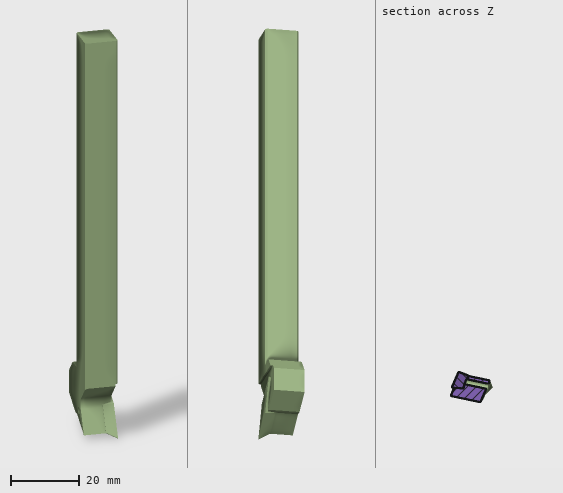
import cadquery as cq
import math

tool_length = 125
shank_size = 10
shank_chamfer = 0.5
overall_width = 18.0
shank_left = overall_width - shank_size

shoulder_height = 20.1
head_chamfer = 4.0
head_left_bottom = 9.2
relief_flat_height = 5.5
throat_start_height = 16.6
throat_angle = 45
throat_radius = 3.0
seat_clearance = 0.1

lower_edge_angle = 28
nose_angle = 35
upper_edge_angle = lower_edge_angle + nose_angle
edge_length = 11.0
nose_radius = 0.2
insert_thickness = 3.2
flank_relief_angle = 11
seat_y = shank_size - insert_thickness

step_depth = 0.8
step_top = 17.2

screw_hole_diameter = 2.0


def direction(angle):
    """Unit vector that points up and to the left, at this angle above the horizontal."""
    return cq.Vector(-math.cos(math.radians(angle)), math.sin(math.radians(angle)))


def height_on_line(point, angle, x):
    """Height at x of the line through the point that rises to the left at this angle."""
    return point.y + (point.x - x) * math.tan(math.radians(angle))


def x_on_line(point, angle, height):
    """X at a height of the line through the point that rises to the left at this angle."""
    return point.x - (height - point.y) / math.tan(math.radians(angle))


def nose_reach(angle):
    """Reach of the rounded nose from its center, at this angle to the bisector of the insert.

    The nose is a cylinder along the leaning tip edge, so the cutting face cuts it in an ellipse.
    """
    along = nose_radius * math.hypot(1, tip_edge_lean) * math.cos(math.radians(angle))
    across = nose_radius * math.sin(math.radians(angle))
    return math.hypot(along, across)


half_nose_angle = nose_angle / 2
half_nose_sine = math.sin(math.radians(half_nose_angle))
bisector_angle = lower_edge_angle + half_nose_angle
bisector = direction(bisector_angle)
tip_edge_lean = math.tan(math.radians(flank_relief_angle)) / half_nose_sine

nose_center = cq.Vector(overall_width - nose_reach(bisector_angle), nose_reach(90 - bisector_angle))
tip = nose_center - bisector * (nose_reach(90 - half_nose_angle) / half_nose_sine)

lower_edge = direction(lower_edge_angle) * edge_length
upper_edge = direction(upper_edge_angle) * edge_length
insert_center = tip + (lower_edge + upper_edge) * 0.5

base_tip = tip + bisector * (insert_thickness * tip_edge_lean)
seat_tip = base_tip + bisector * (seat_clearance / half_nose_sine)


def plane_at(y):
    """XZ sketch plane at depth y; extrusions run towards -Y."""
    return cq.Workplane("XZ", origin=(0, y, 0))


def make_insert():
    corners = [tip, tip + upper_edge, tip + upper_edge + lower_edge, tip + lower_edge]
    outline = plane_at(shank_size).polyline([(c.x, c.y) for c in corners]).close()
    insert = outline.extrude(insert_thickness, taper=flank_relief_angle)
    tip_middle = (tip + base_tip) * 0.5
    tip_edge = cq.selectors.NearestToPointSelector((tip_middle.x, (shank_size + seat_y) / 2, tip_middle.y))
    return insert.edges(tip_edge).fillet(nose_radius)


def make_shank():
    shank = (
        plane_at(shank_size)
        .moveTo(shank_left, throat_start_height)
        .lineTo(overall_width, throat_start_height)
        .lineTo(overall_width, tool_length)
        .lineTo(shank_left, tool_length)
        .close()
        .extrude(shank_size)
    )
    return shank.edges("|Z").chamfer(shank_chamfer)


def make_head():
    head_corner = cq.Vector(0, head_left_bottom)
    shank_corner = cq.Vector(overall_width, throat_start_height)

    throat_slope = math.tan(math.radians(throat_angle))
    seat_slope = math.tan(math.radians(upper_edge_angle))
    rise = shank_corner.y - height_on_line(seat_tip, upper_edge_angle, shank_corner.x)
    throat_x = shank_corner.x - rise / (throat_slope + seat_slope)
    throat_z = height_on_line(seat_tip, upper_edge_angle, throat_x)

    head = (
        plane_at(shank_size)
        .moveTo(head_corner.x, head_corner.y)
        .lineTo(head_corner.x, shoulder_height - head_chamfer)
        .lineTo(head_chamfer, shoulder_height)
        .lineTo(shank_corner.x, shoulder_height)
        .lineTo(shank_corner.x, shank_corner.y)
        .lineTo(throat_x, throat_z)
        .lineTo(seat_tip.x, seat_tip.y)
        .lineTo(x_on_line(seat_tip, lower_edge_angle, relief_flat_height), relief_flat_height)
        .lineTo(x_on_line(head_corner, lower_edge_angle, relief_flat_height), relief_flat_height)
        .close()
        .extrude(shank_size)
    )
    throat_edge = cq.selectors.NearestToPointSelector((throat_x, shank_size / 2, throat_z))
    head = head.edges("|Y").edges(throat_edge).fillet(throat_radius)
    return head.faces(">X").edges("|Z").chamfer(shank_chamfer)


def make_step():
    """Shallow layer behind the lower part of the head that is cut away."""
    return (
        plane_at(shank_size)
        .rect(overall_width, step_top, centered=False)
        .extrude(step_depth)
    )


def make_screw_hole():
    hole = plane_at(seat_y).center(insert_center.x, insert_center.y).circle(screw_hole_diameter / 2)
    return hole.extrude(seat_y)


def make_holder(insert):
    holder = make_head().union(make_shank())
    return holder.cut(make_step()).cut(insert).cut(make_screw_hole())


insert = make_insert()
holder = make_holder(insert)

result = cq.Compound.makeCompound([holder.val(), insert.val()])